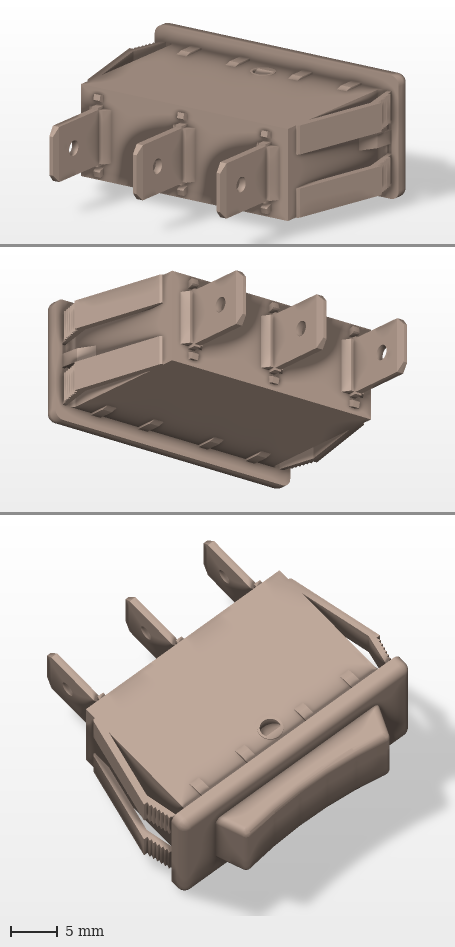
import cadquery as cq
import math


bezel_length = 31.95
bezel_height = 13.9
bezel_thickness = 1.98
bezel_corner_radius = 1.02
bezel_rim_radius = 1.0

body_half_length = 13.53
body_half_height = 5.18
body_depth = 17.1
root_fillet = 0.5

rocker_height = 8.05
rocker_z_offset = 0.1
rocker_base_left = -11.4
rocker_base_right = 11.45
rocker_peak_left = (-9.67, 5.97)
rocker_peak_right = (10.05, 5.6)
rocker_hollow = (1.65, 4.85)
rocker_side_radius = 0.8
rocker_peak_radius = 0.65

nub_centres = (-10.5, -4.1, 4.1, 10.5)
nub_width = 1.25
nub_height = 0.23
nub_flat_length = 2.0
nub_length = 2.85

boss_diameter = 2.8
boss_height = 0.1
boss_y = -2.55
window_diameter = 2.28
window_top_y = -2.0
window_slope = math.radians(37)

clip_inner_z = 1.9
clip_root_inner = 14.45
clip_root_outer = 15.0
clip_knee_inner = (15.5, -4.62)
clip_knee_outer = (16.5, -3.93)
clip_foot_y = -13.3
clip_heel = (13.9, -15.38)
clip_end_x = 13.73
clip_end_y = -15.6
tooth_count = 6
tooth_pitch = 0.5
first_tooth = (15.55, -0.92)
tooth_lean = 0.125
tooth_depth = 0.3
slot_depth = 0.33

tab_width = 1.52
tab_root = 14.88
tab_knee = (14.65, -2.05)
tab_end_y = -3.93

pin_spacing = 10.95
pin_thickness = 0.82
pin_height = 6.2
pin_end_y = -26.35
pin_tip_length = 0.92
pin_tip_thickness = 0.45
pin_hole_diameter = 1.7
pin_hole_y = -22.7
shoulder_height = 6.65
shoulder_length = 1.12
collar_height = 6.0
collar_length = 0.92
collar_root_half_width = 1.45
collar_end_half_width = 0.85
prong_profile = ((-0.15, 4.42), (0.65, 4.65), (0.82, 4.03), (0.65, 3.85), (-0.15, 3.63))


def prism_z(points, z_low, z_high):
    """Extrude an XY outline between two Z levels."""
    return cq.Workplane("XY").workplane(offset=z_low).polyline(points).close().extrude(z_high - z_low)


def prism_x(points, thickness):
    """Extrude a YZ outline, centred on X = 0."""
    return cq.Workplane("YZ").polyline(points).close().extrude(thickness / 2, both=True)


def block(x_size, y_low, y_high, z_size):
    """Box centred on X and Z between two Y levels."""
    return cq.Workplane("XY").box(x_size, y_high - y_low, z_size).translate((0, (y_low + y_high) / 2, 0))


def make_bezel():
    bezel = block(bezel_length, 0, bezel_thickness, bezel_height)
    bezel = bezel.edges("|Y").fillet(bezel_corner_radius)
    return bezel.faces(">Y").edges().fillet(bezel_rim_radius)


def make_body():
    reach = body_half_length + root_fillet
    return (
        cq.Workplane("XY")
        .workplane(offset=-body_half_height)
        .moveTo(-reach, 0)
        .radiusArc((-body_half_length, -root_fillet), root_fillet)
        .lineTo(-body_half_length, -body_depth)
        .lineTo(body_half_length, -body_depth)
        .lineTo(body_half_length, -root_fillet)
        .radiusArc((reach, 0), root_fillet)
        .lineTo(reach, root_fillet)
        .lineTo(-reach, root_fillet)
        .close()
        .extrude(2 * body_half_height)
    )


def make_rocker():
    rocker = (
        cq.Workplane("XY")
        .workplane(offset=rocker_z_offset - rocker_height / 2)
        .moveTo(rocker_base_left, bezel_thickness)
        .lineTo(*rocker_peak_left)
        .threePointArc(rocker_hollow, rocker_peak_right)
        .lineTo(rocker_base_right, bezel_thickness)
        .close()
        .extrude(rocker_height)
    )
    rocker = rocker.edges("|Z and (not <Y)").fillet(rocker_peak_radius)
    side_edges = rocker.faces("<Z or >Z").edges("not <Y")
    return rocker.newObject(side_edges.vals()).fillet(rocker_side_radius)


def make_nubs():
    base = body_half_height
    top = base + nub_height
    nub = prism_x([(0, 0), (0, top), (-nub_flat_length, top), (-nub_length, base), (-nub_length, 0)], nub_width)
    pair = nub.union(nub.mirror("XY"))
    nubs = cq.Workplane("XY")
    for x in nub_centres:
        nubs = nubs.union(pair.translate((x, 0, 0)))
    return nubs


def add_lamp_boss(part):
    top = body_half_height + boss_height
    boss = cq.Workplane("XY").center(0, boss_y).circle(boss_diameter / 2).extrude(top)
    window_end_y = boss_y - window_diameter / 2
    drop = (window_top_y - window_end_y) * math.tan(window_slope)
    wedge = prism_x([(window_top_y, top), (window_end_y, top), (window_end_y, top - drop)], boss_diameter)
    window = cq.Workplane("XY").center(0, boss_y).circle(window_diameter / 2).extrude(top)
    return part.union(boss).cut(wedge.intersect(window))


def clip_outline():
    points = [(clip_root_inner, slot_depth), (clip_root_outer, slot_depth), (clip_root_outer, 0)]
    for i in range(tooth_count):
        tip_x = first_tooth[0] + i * tooth_lean
        ledge_y = first_tooth[1] - i * tooth_pitch
        points.append((tip_x - tooth_depth, ledge_y))
        points.append((tip_x, ledge_y))
    last_valley_x = first_tooth[0] + tooth_count * tooth_lean - tooth_depth
    points.append((last_valley_x, clip_knee_outer[1]))
    points += [clip_knee_outer, clip_heel]
    points += [(clip_end_x, clip_end_y), (body_half_length, clip_end_y)]
    points += [(body_half_length, clip_foot_y), clip_knee_inner]
    return points


def make_end_slot():
    slot_width = clip_root_outer - clip_root_inner
    slot = block(slot_width, 0, slot_depth, 2 * clip_inner_z)
    return slot.translate(((clip_root_inner + clip_root_outer) / 2, 0, 0))


def make_end_fittings():
    clip = prism_z(clip_outline(), clip_inner_z, body_half_height)
    tab_points = [
        (body_half_length, slot_depth),
        (tab_root, slot_depth),
        (tab_root, 0),
        tab_knee,
        (body_half_length, tab_end_y),
    ]
    tab = prism_z(tab_points, -tab_width / 2, tab_width / 2)
    return clip.union(clip.mirror("XY")).union(tab)


def make_terminal():
    tip_start_y = pin_end_y + pin_tip_length
    half_thickness = pin_thickness / 2
    half_tip = pin_tip_thickness / 2
    half_height = pin_height / 2
    blade = prism_z(
        [
            (-half_thickness, -body_depth),
            (-half_thickness, tip_start_y),
            (-half_tip, pin_end_y),
            (half_tip, pin_end_y),
            (half_thickness, tip_start_y),
            (half_thickness, -body_depth),
        ],
        -half_height,
        half_height,
    )
    side = prism_x(
        [
            (-body_depth, -half_height),
            (tip_start_y, -half_height),
            (pin_end_y, pin_tip_length - half_height),
            (pin_end_y, half_height - pin_tip_length),
            (tip_start_y, half_height),
            (-body_depth, half_height),
        ],
        pin_thickness,
    )
    hole = (
        cq.Workplane("YZ").center(pin_hole_y, 0).circle(pin_hole_diameter / 2).extrude(pin_thickness, both=True)
    )
    shoulder = block(pin_thickness, -body_depth - shoulder_length, -body_depth, shoulder_height)
    collar_end_y = -body_depth - collar_length
    collar = prism_z(
        [
            (-collar_root_half_width, -body_depth),
            (-collar_end_half_width, collar_end_y),
            (collar_end_half_width, collar_end_y),
            (collar_root_half_width, -body_depth),
        ],
        -collar_height / 2,
        collar_height / 2,
    )
    prong = prism_x([(-body_depth - out, z) for out, z in prong_profile], pin_thickness)
    terminal = blade.intersect(side).cut(hole).union(shoulder).union(collar)
    return terminal.union(prong).union(prong.mirror("XY"))


slot = make_end_slot()
fittings = make_end_fittings()
terminal = make_terminal()

result = make_bezel().cut(slot).cut(slot.mirror("YZ"))
result = result.union(make_body()).union(make_rocker()).union(make_nubs())
result = add_lamp_boss(result)
result = result.union(fittings).union(fittings.mirror("YZ"))
for position in (-1, 0, 1):
    result = result.union(terminal.translate((position * pin_spacing, 0, 0)))